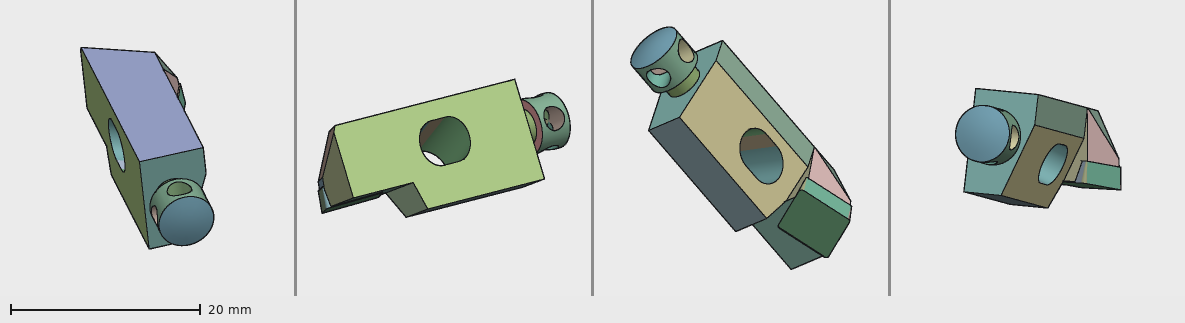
import cadquery as cq
import math

TILT = 20.0

HOLDER_WIDTH = 7.0
HOLDER_HEIGHT = 11.0
HOLDER_LENGTH = 24.5
SHOULDER_X = -16.5
NOTCH_HEIGHT = 3.1
NOTCH_ANGLE = 15.0
SEAT_FACE_ANGLE = 20.0
SEAT_FACE_TOP = 7.75
BEVEL_ANGLE = 28.0
BEVEL_START_X = -24.08
BULGE_ANGLE = 27.0

SLOT_X = -11.0
SLOT_Z = 6.5
SLOT_WIDTH = 4.6
SLOT_LENGTH = 6.5

INSERT_CIRCLE = 6.35
NOSE_ANGLE = 80.0
NOSE_RADIUS = 0.4
CLEARANCE = 7.0
INSERT_THICKNESS = 2.38
INSERT_FACE_Z = 3.0
NOSE_X = -25.0
NOSE_Y = 4.51
LEAD_ANGLE = 60.0
SEAT_SETBACK = 0.15

SCREW_Y = 3.2
SCREW_Z = 6.0
SHANK_DIAMETER = 4.0
SHANK_LENGTH = 1.75
HEAD_DIAMETER = 6.0
HEAD_LENGTH = 3.75
DOME_HEIGHT = 0.5
CROSS_HOLE_DIAMETER = 2.6

BIG = 60.0


def sin(degrees):
    return math.sin(math.radians(degrees))


def cos(degrees):
    return math.cos(math.radians(degrees))


def tan(degrees):
    return math.tan(math.radians(degrees))


TRAIL_ANGLE = LEAD_ANGLE - NOSE_ANGLE
INSERT_SIDE = INSERT_CIRCLE / sin(NOSE_ANGLE)
OUTER_CORNER = (NOSE_X + INSERT_SIDE * cos(LEAD_ANGLE), NOSE_Y + INSERT_SIDE * sin(LEAD_ANGLE))
LEAD_NORMAL = (-sin(LEAD_ANGLE), cos(LEAD_ANGLE))
TRAIL_NORMAL = (-sin(TRAIL_ANGLE), cos(TRAIL_ANGLE))
SEAT_FACE_NORMAL = (0, cos(SEAT_FACE_ANGLE), -sin(SEAT_FACE_ANGLE))


def trim(shape, point, normal):
    """Remove everything beyond the plane through point, on the side normal points to."""
    beyond = cq.Workplane(cq.Plane(origin=point, normal=normal)).rect(BIG, BIG).extrude(BIG)
    return shape.cut(beyond)


def sloped_normal(plan_normal, slope):
    """Outward normal of a face that leans back by slope from vertical as it rises."""
    return (plan_normal[0] * cos(slope), plan_normal[1] * cos(slope), sin(slope))


def side_profile(points, depth):
    """Extrude an X-Z outline from Y = 0 to Y = depth."""
    return cq.Workplane("XZ").polyline(points).close().extrude(-depth)


def make_insert():
    lead = (INSERT_SIDE * cos(LEAD_ANGLE), INSERT_SIDE * sin(LEAD_ANGLE))
    trail = (INSERT_SIDE * cos(TRAIL_ANGLE), INSERT_SIDE * sin(TRAIL_ANGLE))
    corners = [(0, 0), trail, (lead[0] + trail[0], lead[1] + trail[1]), lead, (0, 0)]
    rhombus = cq.Sketch().polygon(corners).vertices().fillet(NOSE_RADIUS)
    return (
        cq.Workplane("XY", origin=(NOSE_X, NOSE_Y, INSERT_FACE_Z))
        .placeSketch(rhombus)
        .extrude(INSERT_THICKNESS, taper=CLEARANCE)
    )


def make_rear_block():
    notch_run = NOTCH_HEIGHT * tan(NOTCH_ANGLE)
    block = side_profile(
        [
            (0, 0),
            (0, HOLDER_HEIGHT),
            (SHOULDER_X, HOLDER_HEIGHT),
            (SHOULDER_X, NOTCH_HEIGHT),
            (SHOULDER_X + notch_run, 0),
        ],
        HOLDER_WIDTH,
    )
    return trim(block, (0, HOLDER_WIDTH, SEAT_FACE_TOP), SEAT_FACE_NORMAL)


def make_front_head():
    head = side_profile(
        [
            (SHOULDER_X, NOTCH_HEIGHT),
            (SHOULDER_X, HOLDER_HEIGHT),
            (-HOLDER_LENGTH, HOLDER_HEIGHT),
            (-HOLDER_LENGTH, NOTCH_HEIGHT),
        ],
        2 * HOLDER_WIDTH,
    )
    for plan_normal in (LEAD_NORMAL, TRAIL_NORMAL):
        flank_point = (
            OUTER_CORNER[0] - SEAT_SETBACK * plan_normal[0],
            OUTER_CORNER[1] - SEAT_SETBACK * plan_normal[1],
            INSERT_FACE_Z,
        )
        head = trim(head, flank_point, sloped_normal(plan_normal, CLEARANCE))
    head = trim(head, (BEVEL_START_X, 0, HOLDER_HEIGHT), sloped_normal(LEAD_NORMAL, BEVEL_ANGLE))
    return trim(head, (0, HOLDER_WIDTH, HOLDER_HEIGHT), sloped_normal((0, 1), BULGE_ANGLE))


def make_slot():
    plane = cq.Plane(origin=(SLOT_X, 0, SLOT_Z), xDir=(1, 0, 0), normal=SEAT_FACE_NORMAL)
    return cq.Workplane(plane).slot2D(SLOT_LENGTH, SLOT_WIDTH).extrude(BIG / 2, both=True)


def make_holder(insert):
    return make_rear_block().union(make_front_head()).cut(make_slot()).cut(insert)


def make_screw():
    head_end = SHANK_LENGTH + HEAD_LENGTH
    head_radius = HEAD_DIAMETER / 2
    dome_radius = (head_radius**2 + DOME_HEIGHT**2) / (2 * DOME_HEIGHT)
    half_dome_angle = math.degrees(math.asin(head_radius / dome_radius)) / 2
    dome_mid = (
        head_end + DOME_HEIGHT - dome_radius * (1 - cos(half_dome_angle)),
        dome_radius * sin(half_dome_angle),
    )
    screw = (
        cq.Workplane("XY")
        .lineTo(0, SHANK_DIAMETER / 2)
        .lineTo(SHANK_LENGTH, SHANK_DIAMETER / 2)
        .lineTo(SHANK_LENGTH, head_radius)
        .lineTo(head_end, head_radius)
        .threePointArc(dome_mid, (head_end + DOME_HEIGHT, 0))
        .close()
        .revolve(360, (0, 0, 0), (1, 0, 0))
    )
    hole_x = SHANK_LENGTH + HEAD_LENGTH / 2
    for plane in ("XY", "XZ"):
        hole = (
            cq.Workplane(plane, origin=(hole_x, 0, 0))
            .circle(CROSS_HOLE_DIAMETER / 2)
            .extrude(HEAD_DIAMETER, both=True)
        )
        screw = screw.cut(hole)
    return screw.translate((0, SCREW_Y, SCREW_Z))


def tilted(body):
    return body.rotate((0, 0, 0), (0, 1, 0), -TILT).solids().val()


insert = make_insert()
holder = make_holder(insert)
screw = make_screw()

result = cq.Compound.makeCompound([tilted(body) for body in (holder, insert, screw)])